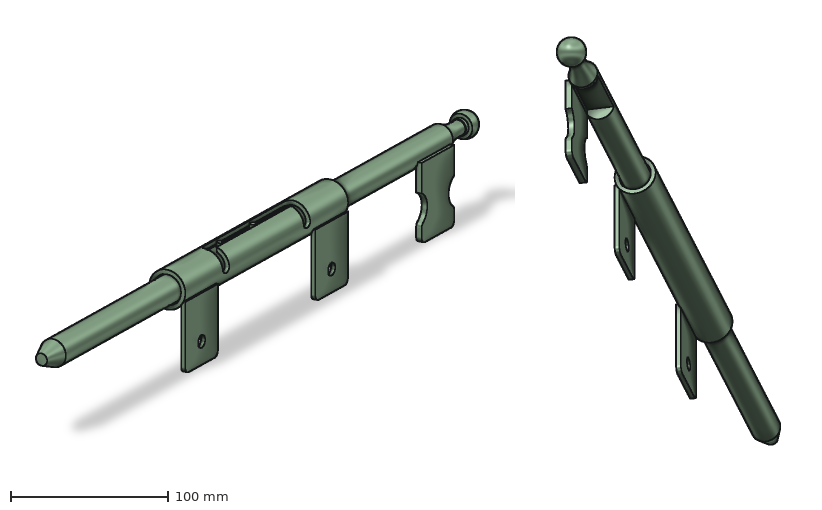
import cadquery as cq
import math


ROD_RADIUS = 9.5
TIP_END = -254.5
TIP_LENGTH = 14.5
TIP_RADIUS = 4.0
SHOULDER_Y = 235.5
NECK_RADIUS = 5.5
NECK_START = 253.0
KNOB_BASE = 258.0
KNOB_COLLAR = 261.0
COLLAR_RADIUS = 6.0
KNOB_END = TIP_END + 529.5
KNOB_CENTRE = KNOB_END - ROD_RADIUS

SLEEVE_RADIUS = 13.5
SHEET = 3.0
SLEEVE_BORE = SLEEVE_RADIUS - SHEET
SLEEVE_LENGTH = 200.0

SLOT_WIDTH = 8.0
SLOT_LENGTH = 107.5
SLOT_CORNER = 5.5
BRANCH_END = -1.5

TAB_WIDTH = 40.0
TAB_TOP = -6.0
TAB_BOTTOM = -54.5
TAB_CORNER = 4.0
TAB_HOLE = 8.5
TAB_HOLE_Z = -38.5

HANDLE_Y = 213.0
HANDLE_WIDTH = TAB_WIDTH
HANDLE_INNER_X = 8.0
HANDLE_THICKNESS = 4.0
HANDLE_TOP = -1.5
HANDLE_BOTTOM = SLEEVE_RADIUS - 70.0
WAIST_Z = -33.0
WAIST_HALF_HEIGHT = 10.5
WAIST_DEPTH = 7.0
HANDLE_CORNER = 4.0

PIN_DIAMETER = 5.0
PIN_SPACING = 40.0
PIN_MIDDLE = -15.0
PIN_SEAT = 4.0
PIN_TOP = SLEEVE_RADIUS - 1.0


def cylinder_y(radius, length, middle=0.0):
    """Cylinder on the bolt axis, centred on Y = middle."""
    return cq.Workplane("XZ", origin=(0, middle + length / 2, 0)).circle(radius).extrude(length)


def box_between(x, y, z):
    """Box given by its (low, high) limits along each axis."""
    corner = (x[0], y[0], z[0])
    return cq.Workplane("XY", origin=corner).box(x[1] - x[0], y[1] - y[0], z[1] - z[0], centered=False)


def make_pin(y):
    return cq.Workplane("XY", origin=(0, y, PIN_SEAT)).circle(PIN_DIAMETER / 2).extrude(PIN_TOP - PIN_SEAT)


def make_rod():
    dome_mid = ROD_RADIUS * math.sqrt(0.5)
    back_height = KNOB_CENTRE - KNOB_COLLAR
    back_radius = math.sqrt(ROD_RADIUS**2 - back_height**2)
    back_mid_height = back_height / 2
    back_mid_radius = math.sqrt(ROD_RADIUS**2 - back_mid_height**2)
    rod = (
        cq.Workplane("XY")
        .moveTo(0, KNOB_END)
        .threePointArc((dome_mid, KNOB_CENTRE + dome_mid), (ROD_RADIUS, KNOB_CENTRE))
        .threePointArc((back_mid_radius, KNOB_CENTRE - back_mid_height), (back_radius, KNOB_COLLAR))
        .lineTo(COLLAR_RADIUS, KNOB_COLLAR)
        .lineTo(COLLAR_RADIUS, KNOB_BASE)
        .lineTo(NECK_RADIUS, KNOB_BASE)
        .lineTo(NECK_RADIUS, NECK_START)
        .tangentArcPoint((ROD_RADIUS, SHOULDER_Y), relative=False)
        .lineTo(ROD_RADIUS, TIP_END + TIP_LENGTH)
        .lineTo(TIP_RADIUS, TIP_END)
        .lineTo(0, TIP_END)
        .close()
        .revolve(360, (0, 0, 0), (0, 1, 0))
    )
    notch = box_between(
        (-SLEEVE_RADIUS, HANDLE_INNER_X),
        (HANDLE_Y - HANDLE_WIDTH / 2, HANDLE_Y + HANDLE_WIDTH / 2),
        (-SLEEVE_RADIUS, HANDLE_TOP),
    )
    rod = rod.cut(notch)
    for y in PIN_POSITIONS:
        rod = rod.cut(make_pin(y))
    return rod


def make_slot():
    half = SLOT_LENGTH / 2
    run = box_between((-SLOT_WIDTH / 2, SLOT_WIDTH / 2), (-half, half), (0, SLEEVE_RADIUS))
    slot = run.edges("|Z and <X").fillet(SLOT_CORNER)
    end_centre_z = BRANCH_END + SLOT_WIDTH / 2
    for side in (-1, 1):
        middle = side * (half - SLOT_WIDTH / 2)
        branch = box_between(
            (SLOT_WIDTH / 2, SLEEVE_RADIUS),
            (middle - SLOT_WIDTH / 2, middle + SLOT_WIDTH / 2),
            (end_centre_z, SLEEVE_RADIUS),
        )
        round_end = (
            cq.Workplane("YZ", origin=(SLOT_WIDTH / 2, middle, end_centre_z))
            .circle(SLOT_WIDTH / 2)
            .extrude(SLEEVE_RADIUS)
        )
        slot = slot.union(branch).union(round_end)
    return slot


def make_sleeve():
    bore = cylinder_y(SLEEVE_BORE, SLEEVE_LENGTH)
    return cylinder_y(SLEEVE_RADIUS, SLEEVE_LENGTH).cut(bore).cut(make_slot())


def make_tab(y):
    """Flat tab flush with the +X side of the sleeve, its top shaped to the sleeve wall."""
    tab = box_between(
        (SLEEVE_BORE, SLEEVE_RADIUS),
        (y - TAB_WIDTH / 2, y + TAB_WIDTH / 2),
        (TAB_BOTTOM, TAB_TOP),
    )
    hole = cq.Workplane("YZ", origin=(0, y, TAB_HOLE_Z)).circle(TAB_HOLE / 2).extrude(SLEEVE_RADIUS)
    tab = tab.edges("|X and <Z").fillet(TAB_CORNER)
    return tab.cut(hole).cut(cylinder_y(SLEEVE_RADIUS, SLEEVE_LENGTH))


def make_handle():
    """Waisted plate whose top is shaped to the rod."""
    half = HANDLE_WIDTH / 2
    waist = half - WAIST_DEPTH
    waist_top = WAIST_Z + WAIST_HALF_HEIGHT
    waist_bottom = WAIST_Z - WAIST_HALF_HEIGHT
    plate = (
        cq.Workplane("YZ", origin=(HANDLE_INNER_X, HANDLE_Y, 0))
        .moveTo(-half, HANDLE_TOP)
        .lineTo(half, HANDLE_TOP)
        .lineTo(half, waist_top)
        .threePointArc((waist, WAIST_Z), (half, waist_bottom))
        .lineTo(half, HANDLE_BOTTOM)
        .lineTo(-half, HANDLE_BOTTOM)
        .lineTo(-half, waist_bottom)
        .threePointArc((-waist, WAIST_Z), (-half, waist_top))
        .close()
        .extrude(HANDLE_THICKNESS)
    )
    lower_corners = cq.selectors.BoxSelector(
        (0, HANDLE_Y - HANDLE_WIDTH, HANDLE_BOTTOM - 5.5),
        (SLEEVE_RADIUS, HANDLE_Y + HANDLE_WIDTH, WAIST_Z - WAIST_HALF_HEIGHT / 2),
    )
    plate = plate.edges("|X").edges(lower_corners).fillet(HANDLE_CORNER)
    return plate.cut(cylinder_y(ROD_RADIUS, HANDLE_WIDTH, HANDLE_Y))


PIN_POSITIONS = [PIN_MIDDLE + side * PIN_SPACING / 2 for side in (-1, 1)]
TAB_POSITIONS = [side * (SLEEVE_LENGTH - TAB_WIDTH) / 2 for side in (-1, 1)]

rod = make_rod()
sleeve = make_sleeve()
handle = make_handle()
tabs = [make_tab(y) for y in TAB_POSITIONS]
pins = [make_pin(y) for y in PIN_POSITIONS]

result = cq.Compound.makeCompound(
    [rod.val(), sleeve.val(), handle.val()] + [tab.val() for tab in tabs] + [pin.val() for pin in pins]
)